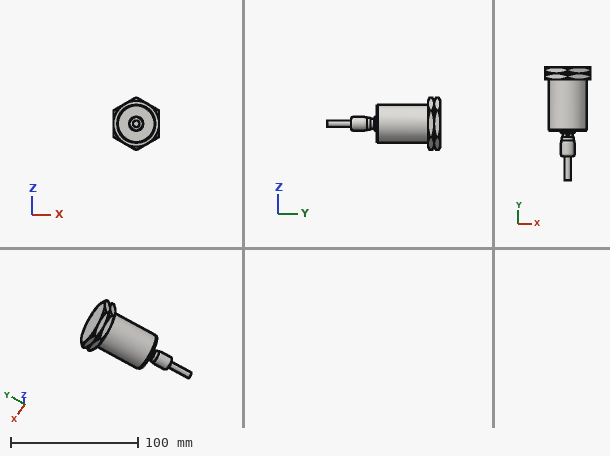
import cadquery as cq
import math

total_length = 89.2
nut_width = 36.0
nut_thickness = 5.0
nut_count = 2
nut_chamfer_angle = math.radians(30)

body_radius = 15.0
body_end = 50.5
lip_radius = 14.45
lip_length = 1.0
body_chamfer = body_radius - lip_radius

flange_radius = 5.5
flange_rim_end = 51.2
flange_face = 51.7
flange_face_radius = 5.1
flange_root_radius = 4.4
flange_root_end = 52.2
neck_radius = 4.0
neck_end = 54.9
collar_face_radius = 4.3
collar_shoulder_radius = 4.7
collar_shoulder = 55.75
collar_radius = 4.8
collar_start = 56.3
collar_end = 57.9
grip_start_radius = 5.1
grip_radius = 5.5
grip_start = 60.0
grip_length = 10.35
grip_rounding = 2.1
cable_radius = 2.6

lamp_station = 53.4
lamp_pocket_radius = 1.0
lamp_pocket_depth = 1.0
lamp_radius = 0.9

nut_stack_length = nut_count * nut_thickness
nut_corner_radius = nut_width / math.sqrt(3)
grip_end = grip_start + grip_length
rear_y = total_length / 2


def revolve_profile(profile):
    """Revolve a (radius, station) profile about the station axis."""
    return profile.close().revolve(360, (0, 0, 0), (0, 1, 0))


def make_nut(start):
    """Hexagon nut with conical corner chamfers on both faces."""
    flat_radius = nut_width / 2
    chamfer_depth = (nut_corner_radius - flat_radius) * math.tan(nut_chamfer_angle)
    hexagon = (
        cq.Workplane("XZ", origin=(0, start, 0))
        .polygon(6, 2 * nut_corner_radius)
        .extrude(-nut_thickness)
        .rotate((0, 0, 0), (0, 1, 0), 30)
    )
    chamfer_envelope = revolve_profile(
        cq.Workplane("XY")
        .moveTo(0, start)
        .lineTo(flat_radius, start)
        .lineTo(nut_corner_radius, start + chamfer_depth)
        .lineTo(nut_corner_radius, start + nut_thickness - chamfer_depth)
        .lineTo(flat_radius, start + nut_thickness)
        .lineTo(0, start + nut_thickness)
    )
    return hexagon.intersect(chamfer_envelope)


def make_body():
    """Cylindrical housing with a chamfered step down to its end lip."""
    lip_start = body_end - lip_length
    return revolve_profile(
        cq.Workplane("XY")
        .lineTo(body_radius, 0)
        .lineTo(body_radius, lip_start - body_chamfer)
        .lineTo(lip_radius, lip_start)
        .lineTo(lip_radius, body_end)
        .lineTo(0, body_end)
    )


def make_connector():
    """Flange, neck, collar and rounded grip of the cable connector."""
    arc_offset = grip_rounding * math.sqrt(0.5)
    arc_center_radius = grip_radius - grip_rounding
    arc_center_station = grip_end - grip_rounding
    return revolve_profile(
        cq.Workplane("XY")
        .moveTo(0, nut_stack_length)
        .lineTo(flange_radius, nut_stack_length)
        .lineTo(flange_radius, flange_rim_end)
        .lineTo(flange_face_radius, flange_face)
        .lineTo(flange_root_radius, flange_face)
        .lineTo(neck_radius, flange_root_end)
        .lineTo(neck_radius, neck_end)
        .lineTo(collar_face_radius, neck_end)
        .lineTo(collar_shoulder_radius, collar_shoulder)
        .lineTo(collar_radius, collar_start)
        .lineTo(collar_radius, collar_end)
        .lineTo(grip_start_radius, collar_end)
        .lineTo(grip_radius, grip_start)
        .lineTo(grip_radius, arc_center_station)
        .threePointArc(
            (arc_center_radius + arc_offset, arc_center_station + arc_offset),
            (arc_center_radius, grip_end),
        )
        .lineTo(0, grip_end)
    )


def make_cable():
    """Straight cable leaving the grip."""
    return (
        cq.Workplane("XZ", origin=(0, grip_start, 0))
        .circle(cable_radius)
        .extrude(-(total_length - grip_start))
    )


def make_lamp_pocket():
    """Round pocket sunk into the +Z side of the neck."""
    return (
        cq.Workplane("XY", origin=(0, lamp_station, neck_radius))
        .circle(lamp_pocket_radius)
        .extrude(-lamp_pocket_depth)
    )


def make_lamp():
    """Ball half sunk in the pocket floor, leaving a dome just below the neck surface."""
    floor_height = neck_radius - lamp_pocket_depth
    return cq.Workplane("XY").sphere(lamp_radius).translate((0, lamp_station, floor_height))


part = make_body().union(make_connector()).union(make_cable())
for index in range(nut_count):
    part = part.union(make_nut(index * nut_thickness))
part = part.cut(make_lamp_pocket()).union(make_lamp())

result = part.rotate((0, 0, 0), (0, 0, 1), 180).translate((0, rear_y, 0))